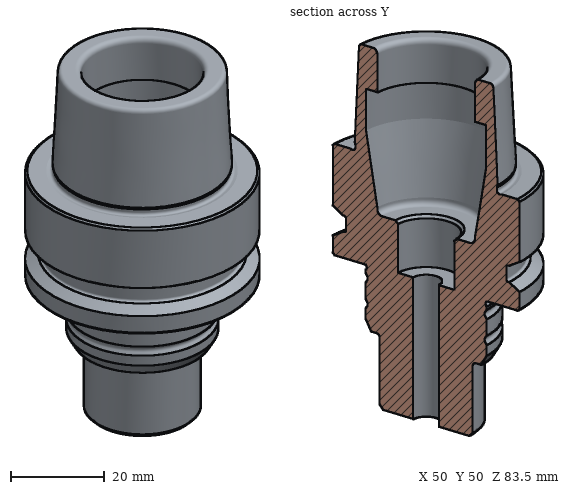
import cadquery as cq
import math


shank_height = 25.0
gauge_diameter = 38.01
gauge_height = 5.0
taper_ratio = 1 / 10
shank_top_round = 1.0
taper_foot_height = 1.8
neck_top = 1.3
neck_diameter = 38.0
undercut_diameter = 40.8
undercut_slope = math.radians(12)
undercut_round = 0.65

flange_diameter = 50.0
flange_thickness = 26.0
flange_chamfer = 0.5
gripper_floor_diameter = 43.0
gripper_centre = -18.0
gripper_mouth_width = 6.9
gripper_throat_width = 3.75
gripper_flank_slope = math.radians(30)
gripper_round = 0.5

collar_diameter = 32.5
collar_cone_top = -38.55
collar_bottom = -41.15
collar_cone_angle = math.radians(30)
relief_height = 1.15
relief_depth = 0.3
ring_groove_centres = (-29.0, -35.0)
ring_groove_width = 2.2
ring_groove_round_width = 1.15
ring_groove_step_diameter = 31.8
ring_groove_floor_diameter = 31.4

bottom = -58.5
spigot_diameter = 25.0
spigot_root_round = 0.8
spigot_chamfer = 1.0

bore_diameter = 26.0
bore_round = 1.25
chamber_diameter = 32.0
chamber_top = 14.87
chamber_taper_top = 5.2
chamber_taper = math.radians(10)
bore_floor = -13.5
socket_diameter = 14.92
socket_mouth_diameter = 16.3
socket_depth = 12.0
through_diameter = 6.8


def rounded_profile(corners):
    """Closed profile from (radius, height, corner round) entries; a round of 0 is a sharp corner."""
    stretches = []
    for index, (x, y, corner_round) in enumerate(corners):
        corner = cq.Vector(x, y, 0)
        if corner_round == 0:
            stretches.append((corner,))
            continue
        before = cq.Vector(*corners[index - 1][:2], 0)
        after = cq.Vector(*corners[(index + 1) % len(corners)][:2], 0)
        to_before = (before - corner).normalized()
        to_after = (after - corner).normalized()
        half_angle = to_before.getAngle(to_after) / 2
        setback = corner_round / math.tan(half_angle)
        bisector = (to_before + to_after).normalized()
        apex = corner + bisector * (corner_round / math.sin(half_angle) - corner_round)
        stretches.append((corner + to_before * setback, apex, corner + to_after * setback))

    profile = cq.Workplane("XZ").moveTo(stretches[0][0].x, stretches[0][0].y)
    for index, stretch in enumerate(stretches):
        if index > 0:
            profile = profile.lineTo(stretch[0].x, stretch[0].y)
        if len(stretch) > 1:
            apex, end = stretch[1:]
            profile = profile.threePointArc((apex.x, apex.y), (end.x, end.y))
    return profile.close()


def turned(profile):
    return profile.revolve(360, (0, 0, 0), (0, 1, 0))


def taper_radius(height):
    return (gauge_diameter - (height - gauge_height) * taper_ratio) / 2


def body():
    flange_radius = flange_diameter / 2
    neck_radius = neck_diameter / 2
    undercut_radius = undercut_diameter / 2
    spigot_radius = spigot_diameter / 2
    collar_radius = collar_diameter / 2

    foot_radius = taper_radius(taper_foot_height)
    undercut_depth = (undercut_radius - neck_radius) * math.tan(undercut_slope)
    cone_end_radius = collar_radius - (collar_cone_top - collar_bottom) * math.tan(collar_cone_angle)

    return turned(rounded_profile([
        (0, bottom, 0),
        (spigot_radius - spigot_chamfer, bottom, 0),
        (spigot_radius, bottom + spigot_chamfer, 0),
        (spigot_radius, collar_bottom, spigot_root_round),
        (cone_end_radius, collar_bottom, 0),
        (collar_radius, collar_cone_top, 0),
        (collar_radius, -flange_thickness, 0),
        (flange_radius - flange_chamfer, -flange_thickness, 0),
        (flange_radius, -flange_thickness + flange_chamfer, 0),
        (flange_radius, -flange_chamfer, 0),
        (flange_radius - flange_chamfer, 0, 0),
        (undercut_radius, 0, 0),
        (neck_radius, -undercut_depth, undercut_round),
        (neck_radius, neck_top, 0),
        (foot_radius, taper_foot_height, 0),
        (taper_radius(shank_height), shank_height, shank_top_round),
        (0, shank_height, 0),
    ]))


def gripper_groove():
    """V groove with a narrow straight slot at its root."""
    mouth_radius = flange_diameter / 2
    floor_radius = gripper_floor_diameter / 2
    half_mouth = gripper_mouth_width / 2
    half_throat = gripper_throat_width / 2
    throat_radius = mouth_radius - (half_mouth - half_throat) / math.tan(gripper_flank_slope)
    return turned(rounded_profile([
        (mouth_radius, gripper_centre - half_mouth, 0),
        (mouth_radius, gripper_centre + half_mouth, 0),
        (throat_radius, gripper_centre + half_throat, 0),
        (floor_radius, gripper_centre + half_throat, gripper_round),
        (floor_radius, gripper_centre - half_throat, gripper_round),
        (throat_radius, gripper_centre - half_throat, 0),
    ]))


def flange_relief():
    radius = collar_diameter / 2
    top = -flange_thickness
    low = top - relief_height
    profile = (
        cq.Workplane("XZ")
        .moveTo(radius, top)
        .threePointArc((radius - relief_depth, (top + low) / 2), (radius, low))
        .close()
    )
    return turned(profile)


def ring_groove(centre):
    """Groove with sloped lips and a hollow round floor."""
    rim_radius = collar_diameter / 2
    step_radius = ring_groove_step_diameter / 2
    half_width = ring_groove_width / 2
    half_round = ring_groove_round_width / 2
    profile = (
        cq.Workplane("XZ")
        .moveTo(rim_radius, centre + half_width)
        .lineTo(step_radius, centre + half_round)
        .threePointArc((ring_groove_floor_diameter / 2, centre), (step_radius, centre - half_round))
        .lineTo(rim_radius, centre - half_width)
        .close()
    )
    return turned(profile)


def bore():
    """Bore with its clamping chamber, the socket in its floor and the through hole."""
    bore_radius = bore_diameter / 2
    chamber_radius = chamber_diameter / 2
    socket_radius = socket_diameter / 2
    socket_mouth_radius = socket_mouth_diameter / 2
    through_radius = through_diameter / 2

    taper_end = chamber_taper_top - (chamber_radius - bore_radius) / math.tan(chamber_taper)
    socket_floor = bore_floor - socket_depth
    socket_chamfer = socket_mouth_radius - socket_radius

    return turned(rounded_profile([
        (0, bottom, 0),
        (through_radius, bottom, 0),
        (through_radius, socket_floor, 0),
        (socket_radius, socket_floor, 0),
        (socket_radius, bore_floor - socket_chamfer, 0),
        (socket_mouth_radius, bore_floor, 0),
        (bore_radius, bore_floor, bore_round),
        (bore_radius, taper_end, 0),
        (chamber_radius, chamber_taper_top, 0),
        (chamber_radius, chamber_top, 0),
        (bore_radius, chamber_top, 0),
        (bore_radius, shank_height, bore_round),
        (bore_radius + 2 * bore_round, shank_height, 0),
        (0, shank_height + bore_round, 0),
    ]))


result = body().cut(gripper_groove()).cut(flange_relief())
for groove_centre in ring_groove_centres:
    result = result.cut(ring_groove(groove_centre))
result = result.cut(bore())